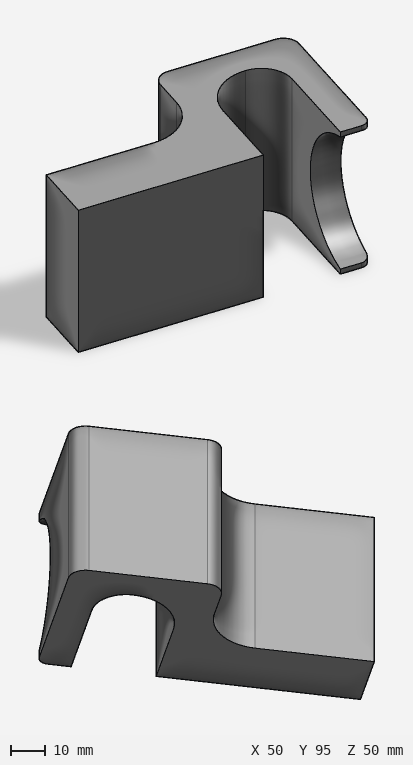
import cadquery as cq

length = 95.0
width = 50.0
height = 50.0

wall = 10.0
leg_thickness = 20.0
slot_arm_radius = 10.0
slot_leg_radius = 15.0
cove_radius = 15.0
corner_radius = 5.0
tip_radius = 3.0

scallop_radius = 23.75
scallop_offset = 5.0

slot_width = slot_arm_radius + slot_leg_radius
arm_inner_y = length - wall
slot_lower_y = arm_inner_y - slot_width
hook_lower_y = slot_lower_y - wall
leg_x = width - leg_thickness


def hook_body():
    """Extrude the hook and leg outline, starting at the foot of the leg."""
    outline = cq.Workplane("XY").moveTo(leg_x, 0).lineTo(width, 0)
    outline = outline.lineTo(width, slot_lower_y).lineTo(wall + slot_leg_radius, slot_lower_y)
    outline = outline.radiusArc((wall, slot_lower_y + slot_leg_radius), slot_leg_radius)
    outline = outline.radiusArc((wall + slot_arm_radius, arm_inner_y), slot_arm_radius)
    outline = outline.lineTo(width, arm_inner_y).lineTo(width, length - tip_radius)
    outline = outline.radiusArc((width - tip_radius, length), -tip_radius)
    outline = outline.lineTo(corner_radius, length)
    outline = outline.radiusArc((0, length - corner_radius), -corner_radius)
    outline = outline.lineTo(0, hook_lower_y + corner_radius)
    outline = outline.radiusArc((corner_radius, hook_lower_y), -corner_radius)
    outline = outline.lineTo(leg_x - cove_radius, hook_lower_y)
    outline = outline.radiusArc((leg_x, hook_lower_y - cove_radius), cove_radius)
    return outline.close().extrude(height)


def arm_scallop():
    """Cylinder along Y that passes through the arm only."""
    return (
        cq.Workplane("XZ", origin=(width + scallop_offset, length, height / 2))
        .circle(scallop_radius)
        .extrude(wall)
    )


result = hook_body().cut(arm_scallop())